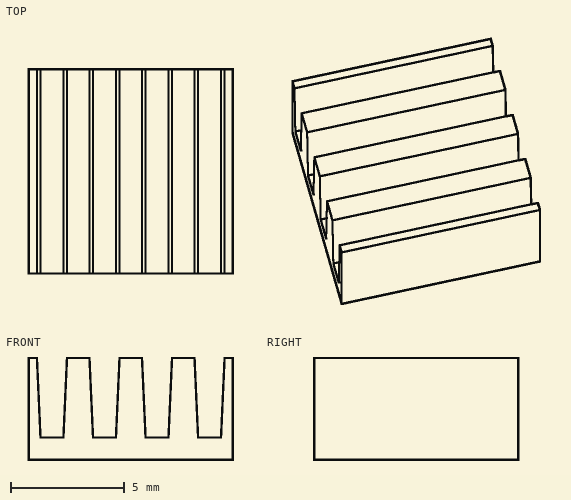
import cadquery as cq

side = 9.0
height = 4.5
base_thickness = 1.0

groove_count = 4
groove_floor_width = 1.0
groove_mouth_width = 1.31
fin_tip_width = 1.0
groove_pitch = groove_mouth_width + fin_tip_width


def groove(center_x):
    """Tapered groove, open at the top and at both Y ends."""
    half_floor = groove_floor_width / 2
    half_mouth = groove_mouth_width / 2
    return (
        cq.Workplane("XZ")
        .moveTo(center_x - half_floor, base_thickness)
        .lineTo(center_x + half_floor, base_thickness)
        .lineTo(center_x + half_mouth, height)
        .lineTo(center_x - half_mouth, height)
        .close()
        .extrude(side / 2, both=True)
    )


result = cq.Workplane("XY").box(side, side, height, centered=(True, True, False))

for index in range(groove_count):
    offset = index - (groove_count - 1) / 2
    result = result.cut(groove(offset * groove_pitch))